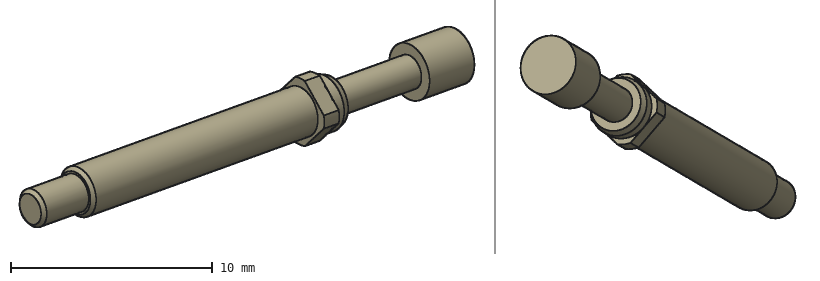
import cadquery as cq

head_length = 3.0
rod_length = 5.3
collar_length = 1.0
nut_thickness = 1.0
sleeve_length = 15.0
tail_length = 3.0

head_diameter = 3.0
rod_diameter = 1.8
collar_diameter = 3.0
nut_across_flats = 3.0
nut_across_corners = 3.6
nut_turn = 45.0
sleeve_diameter = 2.65
tail_diameter = 2.0

collar_taper_length = 0.4
collar_taper_depth = 0.15
sleeve_chamfer = 0.2
tail_chamfer = 0.2

nut_bottom = 0.0
nut_top = nut_bottom + nut_thickness
collar_top = nut_top + collar_length
rod_top = collar_top + rod_length
sleeve_bottom = nut_bottom - sleeve_length
tail_bottom = sleeve_bottom - tail_length


def plane_at(y):
    """Sketch plane across the part axis whose normal points along +Y."""
    return cq.Workplane(cq.Plane(origin=(0, y, 0), xDir=(1, 0, 0), normal=(0, 1, 0)))


def cylinder(y_start, length, diameter):
    """Cylinder on the part axis, running from y_start towards +Y."""
    return plane_at(y_start).circle(diameter / 2).extrude(length)


def make_head():
    return cylinder(rod_top, head_length, head_diameter)


def make_rod():
    return cylinder(collar_top, rod_length, rod_diameter)


def make_collar():
    """Collar above the nut, with a shallow taper towards the rod."""
    collar = cylinder(nut_top, collar_length, collar_diameter)
    return collar.faces(">Y").edges().chamfer(collar_taper_length, collar_taper_depth)


def make_nut():
    """Square nut standing on its corners, which are turned down to a circle."""
    square = (
        plane_at(nut_bottom)
        .transformed(rotate=(0, 0, nut_turn))
        .rect(nut_across_flats, nut_across_flats)
        .extrude(nut_thickness)
    )
    return square.intersect(cylinder(nut_bottom, nut_thickness, nut_across_corners))


def make_sleeve():
    sleeve = cylinder(sleeve_bottom, sleeve_length, sleeve_diameter)
    return sleeve.faces("<Y").edges().chamfer(sleeve_chamfer)


def make_tail():
    tail = cylinder(tail_bottom, tail_length, tail_diameter)
    return tail.faces("<Y").edges().chamfer(tail_chamfer)


result = (
    make_head()
    .union(make_rod())
    .union(make_collar())
    .union(make_nut())
    .union(make_sleeve())
    .union(make_tail())
)